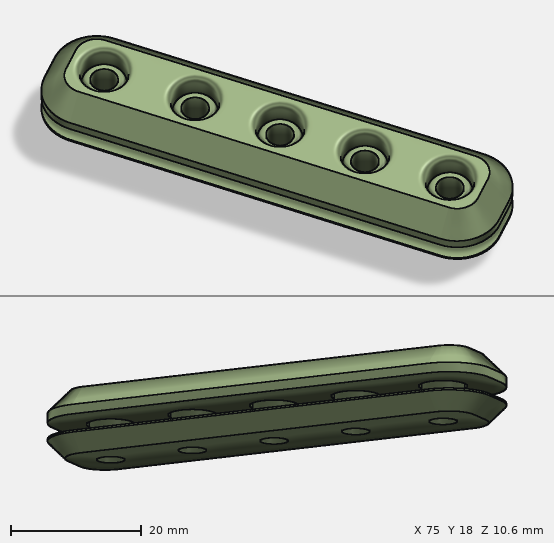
import cadquery as cq

length = 75.0
width = 18.0
corner_radius = 7.0

total_height = 10.6
base_thickness = 3.0
base_rim = 0.3
cover_thickness = 5.0
cover_bevel = 3.5
cover_bottom = total_height - cover_thickness

end_post_x = 28.5
first_gap = 15.0
post_count = 5
post_pitch = (2 * end_post_x - first_gap) / (post_count - 2)
post_positions = [(-end_post_x, 0)] + [
    (end_post_x - i * post_pitch, 0) for i in range(post_count - 1)
]

post_diameter = 6.6
bore_diameter = 4.3
post_tip_diameter = 5.3
post_top = 8.2

head_diameter = 7.0
head_height = 1.5
head_round = (head_diameter - post_tip_diameter) / 2

hole_diameter = 7.4
hole_lip = 1.3


def rounded_plate(bottom, thickness):
    """Plate with rounded corners, centred on the Z axis."""
    return (
        cq.Workplane("XY", origin=(0, 0, bottom))
        .rect(length, width)
        .extrude(thickness)
        .edges("|Z")
        .fillet(corner_radius)
    )


def cylinders(diameter, bottom, top):
    """One upright cylinder at every post position."""
    return (
        cq.Workplane("XY", origin=(0, 0, bottom))
        .pushPoints(post_positions)
        .circle(diameter / 2)
        .extrude(top - bottom)
    )


def make_base():
    """Bottom plate, bevelled underneath, with its headed tubular posts."""
    plate = rounded_plate(0, base_thickness).faces("<Z").chamfer(base_thickness - base_rim)
    head_bottom = post_top - head_height
    stems = cylinders(post_diameter, base_thickness / 2, head_bottom)
    heads = cylinders(head_diameter, head_bottom, post_top).faces(">Z").edges().fillet(head_round)
    return plate.union(stems).union(heads).cut(cylinders(bore_diameter, 0, post_top))


def make_cover():
    """Top plate, bevelled above, with a lipped hole around every post."""
    plate = rounded_plate(cover_bottom, cover_thickness)
    bevelled = plate.faces(">Z").chamfer(cover_bevel)
    drilled = plate.cut(cylinders(hole_diameter, cover_bottom, total_height))
    hole_mouths = drilled.faces(">Z").edges(cq.selectors.RadiusNthSelector(0))
    return hole_mouths.fillet(hole_lip).intersect(bevelled)


base = make_base()
cover = make_cover()

result = cq.Compound.makeCompound([base.val(), cover.val()])